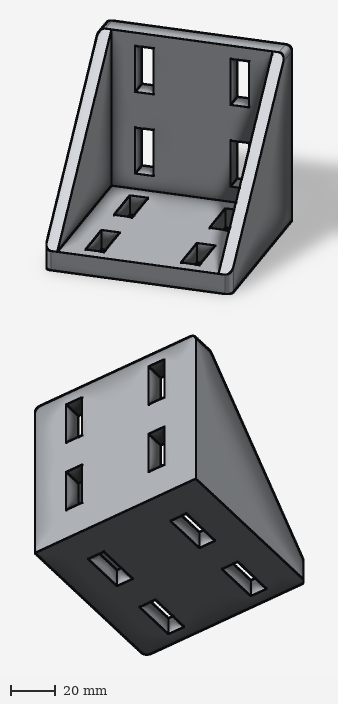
import cadquery as cq

width = 88.0
leg_length = 86.0
plate_thickness = 9.5
gusset_thickness = 6.0
corner_radius = 3.0

slot_width = 8.6
slot_length = 22.5
slot_spacing_x = 45.0
slot_spacing_along = 40.0
slot_center_from_heel = 48.25

back_y = leg_length
inner_width = width - 2 * gusset_thickness


def make_body():
    """Prism with a sloped front, running the full width."""
    profile = [
        (0, 0),
        (back_y, 0),
        (back_y, leg_length),
        (back_y - plate_thickness, leg_length),
        (0, plate_thickness),
    ]
    return cq.Workplane("YZ").polyline(profile).close().extrude(width / 2, both=True)


def round_free_corners(body):
    """Round the side corners at the front of the base and the top of the back plate."""
    front_edges = body.edges("|Z and <Y")
    top_edges = body.edges("|Y and >Z")
    return body.newObject(front_edges.vals() + top_edges.vals()).fillet(corner_radius)


def make_cavity():
    """Block clearing the space between the gussets and above the two plates."""
    inner_back_y = back_y - plate_thickness
    profile = [
        (0, plate_thickness),
        (inner_back_y, plate_thickness),
        (inner_back_y, leg_length),
        (0, leg_length),
    ]
    return cq.Workplane("YZ").polyline(profile).close().extrude(inner_width / 2, both=True)


def make_base_slots():
    """Four slots through the base plate, long along Y."""
    return (
        cq.Workplane("XY")
        .center(0, back_y - slot_center_from_heel)
        .rarray(slot_spacing_x, slot_spacing_along, 2, 2)
        .rect(slot_width, slot_length)
        .extrude(plate_thickness)
    )


def make_back_slots():
    """Four slots through the back plate, long along Z."""
    return (
        cq.Workplane("XZ", origin=(0, back_y, 0))
        .center(0, slot_center_from_heel)
        .rarray(slot_spacing_x, slot_spacing_along, 2, 2)
        .rect(slot_width, slot_length)
        .extrude(plate_thickness)
    )


bracket = round_free_corners(make_body())
bracket = bracket.cut(make_cavity())
bracket = bracket.cut(make_base_slots())
result = bracket.cut(make_back_slots())